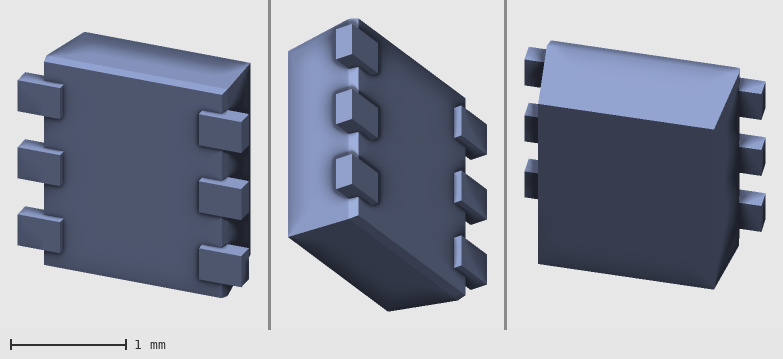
import cadquery as cq
import math

body_width = 1.7
body_height = 2.0
back_depth = 0.68
front_depth = 0.09
back_draft_angle = 6.0
front_draft_angle = 10.0

lead_span = 2.1
lead_length = 0.4
lead_height = 0.3
lead_thickness = 0.17
lead_pitch = 0.649
leads_per_side = 3


def make_body_half(depth, draft_angle, direction):
    """Taper from the parting plane along Y; direction is +1 (back) or -1 (front)."""
    inset = depth * math.tan(math.radians(draft_angle))
    return (
        cq.Workplane("XZ")
        .rect(body_width, body_height)
        .workplane(offset=-direction * depth)
        .rect(body_width - 2 * inset, body_height - 2 * inset)
        .loft(ruled=True)
    )


def make_lead(side, row):
    """One lead; side is -1 or +1 along X, row counts up from the lowest lead."""
    x_center = side * (lead_span - lead_length) / 2
    z_center = (row - (leads_per_side - 1) / 2) * lead_pitch
    return (
        cq.Workplane("XY")
        .box(lead_length, lead_thickness, lead_height)
        .translate((x_center, -lead_thickness / 2, z_center))
    )


leads = [make_lead(side, row) for side in (-1, 1) for row in range(leads_per_side)]

back_half = make_body_half(back_depth, back_draft_angle, 1)

front_half = make_body_half(front_depth, front_draft_angle, -1)
for lead in leads:
    front_half = front_half.cut(lead)

result = cq.Compound.makeCompound(
    [back_half.val(), front_half.solids().val(), *[lead.val() for lead in leads]]
)